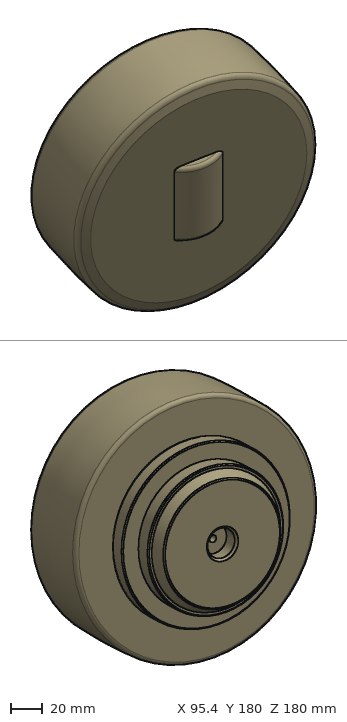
import cadquery as cq
import math


hub_diameter = 100.0
hub_shoulder_x = 7.7
cone_face_radius = 43.2
cone_base_radius = 47.3
nose_chamfer_radial = 1.0
nose_chamfer_axial = 0.7
edge_chamfer = 0.9

flange_diameter = 124.0
flange_x = 19.5

tyre_diameter = 180.0
tyre_front_x = 31.7
tyre_back_x = 89.1
tyre_crown_height = 0.5
front_edge_radius = 2.9
rim_end_x = 83.9
bevel_start_x = 87.3
bevel_start_radius = 86.4
bevel_end_radius = 80.1

bore_diameter = 20.0
bore_depth = 11.5
bore_chamfer = 1.6
dimple_diameter = 4.9

roller_radius = 28.8
roller_length = 60.3
roller_edge_radius = 2.9
roller_crest_x = 95.4

hub_radius = hub_diameter / 2
flange_radius = flange_diameter / 2
tyre_radius = tyre_diameter / 2
rim_edge_radius = tyre_radius - tyre_crown_height

diagonal = math.sqrt(0.5)


def make_wheel():
    """Revolve the half section of hub, flange and tyre about X."""
    rim_start_x = tyre_front_x + front_edge_radius
    rim_middle_x = (rim_start_x + rim_end_x) / 2
    front_arc_inset = front_edge_radius * (1 - diagonal)
    return (
        cq.Workplane("XY")
        .moveTo(0, 0)
        .lineTo(0, cone_face_radius - nose_chamfer_radial)
        .lineTo(nose_chamfer_axial, cone_face_radius)
        .lineTo(hub_shoulder_x, cone_base_radius)
        .lineTo(hub_shoulder_x, hub_radius - edge_chamfer)
        .lineTo(hub_shoulder_x + edge_chamfer, hub_radius)
        .lineTo(flange_x, hub_radius)
        .lineTo(flange_x, flange_radius - edge_chamfer)
        .lineTo(flange_x + edge_chamfer, flange_radius)
        .lineTo(tyre_front_x - edge_chamfer, flange_radius)
        .lineTo(tyre_front_x, flange_radius - edge_chamfer)
        .lineTo(tyre_front_x, rim_edge_radius - front_edge_radius)
        .threePointArc(
            (tyre_front_x + front_arc_inset, rim_edge_radius - front_arc_inset),
            (rim_start_x, rim_edge_radius),
        )
        .threePointArc((rim_middle_x, tyre_radius), (rim_end_x, rim_edge_radius))
        .tangentArcPoint((bevel_start_x, bevel_start_radius), relative=False)
        .lineTo(tyre_back_x, bevel_end_radius)
        .lineTo(tyre_back_x, 0)
        .close()
        .revolve(360, (0, 0, 0), (1, 0, 0))
    )


def make_bore():
    """Chamfered blind bore with a round-bottomed grease dimple in its floor."""
    bore_radius = bore_diameter / 2
    dimple_radius = dimple_diameter / 2
    return (
        cq.Workplane("XY")
        .moveTo(0, 0)
        .lineTo(0, bore_radius + bore_chamfer)
        .lineTo(bore_chamfer, bore_radius)
        .lineTo(bore_depth, bore_radius)
        .lineTo(bore_depth, dimple_radius)
        .threePointArc(
            (bore_depth + dimple_radius * diagonal, dimple_radius * diagonal),
            (bore_depth + dimple_radius, 0),
        )
        .close()
        .revolve(360, (0, 0, 0), (1, 0, 0))
    )


def make_roller():
    """Cylinder along Z with rounded rims."""
    return (
        cq.Workplane("XY")
        .center(roller_crest_x - roller_radius, 0)
        .circle(roller_radius)
        .extrude(roller_length / 2, both=True)
        .edges("%CIRCLE")
        .fillet(roller_edge_radius)
    )


result = make_wheel().cut(make_bore()).union(make_roller())